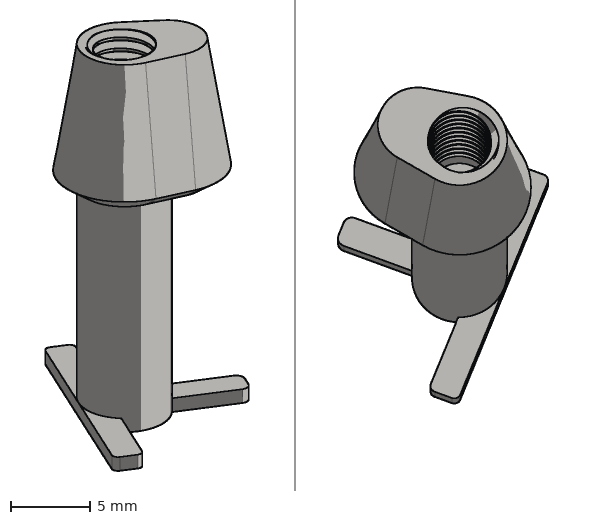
import cadquery as cq
import math

total_height = 25.9

stem_radius = 3.0

foot_thickness = 0.98
bar_length = 16.0
arm_width = 2.0
bar_corner_radius = 0.41
leg_corner_radius = 0.57
leg_tip_y = 8.0

head_height = 10.0
upper_taper_height = 8.9
head_flare = 1.5
rear_radius = 2.5
rear_offset = 2.82

bore_radius = 4.0 / 2
bore_depth = head_height
thread_outer_radius = 2.49
thread_pitch = 0.78
groove_width = 0.9 * thread_pitch
thread_start_angle = -65.0
bore_overlap = 0.1

head_widest_z = total_height - upper_taper_height


def make_head():
    """One outline at the widest level, drawn in with a constant draft both ways."""
    front = stem_radius + head_flare
    rear = rear_radius + head_flare
    tangent_angle = math.asin((front - rear) / rear_offset)
    across = math.cos(tangent_angle)
    along = math.sin(tangent_angle)
    front_x, front_y = front * across, front * along
    rear_x, rear_y = rear * across, rear_offset + rear * along
    outline = (
        cq.Workplane("XY", origin=(0, 0, head_widest_z))
        .moveTo(front_x, front_y)
        .lineTo(rear_x, rear_y)
        .threePointArc((0, rear_offset + rear), (-rear_x, rear_y))
        .lineTo(-front_x, front_y)
        .threePointArc((0, -front), (front_x, front_y))
        .close()
        .val()
    )
    lower_height = head_height - upper_taper_height
    upper_draft = math.degrees(math.atan(head_flare / upper_taper_height))
    lower_draft = math.degrees(math.atan(head_flare / lower_height))
    upper_taper = cq.Workplane(outline).toPending().extrude(upper_taper_height, taper=upper_draft)
    lower_taper = cq.Workplane(outline).toPending().extrude(-lower_height, taper=lower_draft)
    return upper_taper.union(lower_taper)


def make_foot():
    bar = (
        cq.Workplane("XY")
        .center(0, -stem_radius + arm_width / 2)
        .rect(bar_length, arm_width)
        .extrude(foot_thickness)
        .edges("|Z")
        .fillet(bar_corner_radius)
    )
    leg = (
        cq.Workplane("XY")
        .center(0, leg_tip_y / 2)
        .rect(arm_width, leg_tip_y)
        .extrude(foot_thickness)
        .edges("|Z and >Y")
        .fillet(leg_corner_radius)
    )
    return bar.union(leg)


def make_bore():
    return (
        cq.Workplane("XY", origin=(0, 0, total_height - bore_depth))
        .circle(bore_radius)
        .extrude(bore_depth)
    )


def make_thread_groove():
    """Right-handed V groove that runs out through the top face."""
    turns = math.floor(bore_depth / thread_pitch) - 1
    start_z = total_height - turns * thread_pitch
    path = cq.Wire.makeHelix(thread_pitch, (turns + 1) * thread_pitch, bore_radius)
    inner_radius = bore_radius - bore_overlap
    groove = (
        cq.Workplane("XZ")
        .moveTo(inner_radius, -groove_width / 2)
        .lineTo(thread_outer_radius, 0)
        .lineTo(inner_radius, groove_width / 2)
        .close()
        .sweep(cq.Workplane(path), isFrenet=True)
    )
    return groove.rotate((0, 0, 0), (0, 0, 1), thread_start_angle).translate((0, 0, start_z))


stem = cq.Workplane("XY").circle(stem_radius).extrude(head_widest_z)
body = stem.union(make_foot()).union(make_head())
result = body.cut(make_thread_groove()).cut(make_bore())